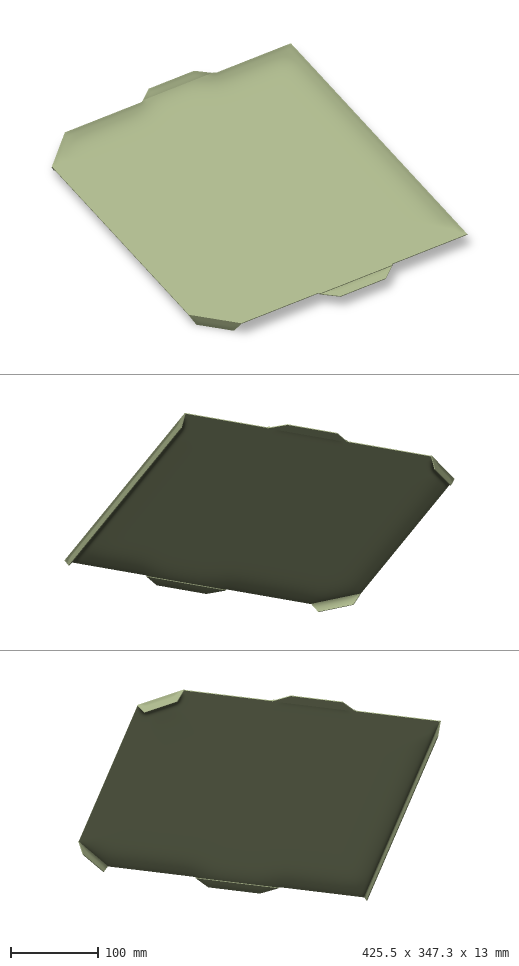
import cadquery as cq
import math

thickness = 1.02
overall_width = 425.5
overall_depth = 347.3
overall_height = 13.0
plate_width = 391.5
corner_cut = 45.0
corner_flap_inset = 10.0

tab_base_length = 100.0
tab_end_length = 61.0
tab_center_y = -150.0
tab_drop = thickness

half_plate = plate_width / 2
tab_reach = (overall_width - plate_width) / 2
flap_projection = thickness / math.sqrt(2)
plate_depth = overall_depth - flap_projection


def make_plate():
    blank = cq.Workplane("XY").box(plate_width, plate_depth, thickness, centered=(True, False, False))
    blank = blank.translate((0, -plate_depth, -thickness))
    return blank.edges("|Z and <Y").chamfer(corner_cut)


def hanging_flap(plane, length, end_inset):
    """Trapezoid hanging from the local X axis, one sheet thickness along the plane normal."""
    half_length = length / 2
    return (
        cq.Workplane(plane)
        .polyline([
            (-half_length, 0),
            (half_length, 0),
            (half_length - end_inset, -overall_height),
            (-half_length + end_inset, -overall_height),
        ])
        .close()
        .extrude(thickness)
    )


def make_back_flange():
    plane = cq.Plane(origin=(0, 0, 0), xDir=(1, 0, 0), normal=(0, -1, 0))
    return hanging_flap(plane, plate_width, overall_height)


def make_corner_flap():
    middle = (-half_plate + corner_cut / 2, -plate_depth + corner_cut / 2, 0)
    plane = cq.Plane(origin=middle, xDir=(1, -1, 0), normal=(-1, -1, 0))
    return hanging_flap(plane, corner_cut * math.sqrt(2), corner_flap_inset)


def make_side_tab():
    """Trapezoidal tab joined to the plate by a short step down."""
    half_base = tab_base_length / 2
    half_end = tab_end_length / 2
    outline = (
        cq.Workplane("XY")
        .polyline([
            (-half_plate, tab_center_y - half_base),
            (-half_plate, tab_center_y + half_base),
            (-half_plate - tab_reach, tab_center_y + half_end),
            (-half_plate - tab_reach, tab_center_y - half_end),
        ])
        .close()
        .extrude(-thickness - tab_drop)
    )
    step_inner = -half_plate - thickness
    step_outer = step_inner - thickness
    tab_tip = -half_plate - tab_reach
    profile = (
        cq.Workplane("XZ", origin=(0, tab_center_y + half_base, 0))
        .polyline([
            (-half_plate, 0),
            (step_outer, 0),
            (step_outer, -tab_drop),
            (tab_tip, -tab_drop),
            (tab_tip, -tab_drop - thickness),
            (step_inner, -tab_drop - thickness),
            (step_inner, -thickness),
            (-half_plate, -thickness),
        ])
        .close()
        .extrude(tab_base_length)
    )
    return outline.intersect(profile)


result = make_plate().union(make_back_flange())
for left_feature in (make_corner_flap(), make_side_tab()):
    result = result.union(left_feature).union(left_feature.mirror("YZ"))